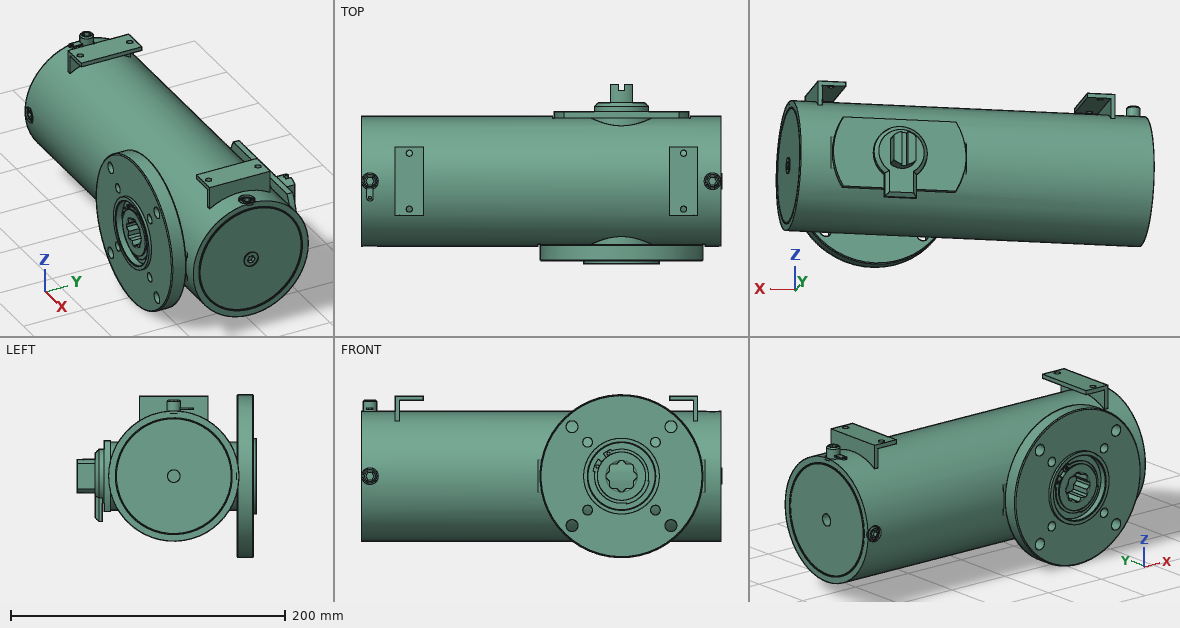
import cadquery as cq
import math

BODY_LENGTH = 262.5
BODY_R = 95.0 / 2
CAP_R = 42.6
CAP_GROOVE = 0.8
END_HOLE_D = 9.2
END_HOLE_DEPTH = 8.0

CROSS_X = 189.8
NECK_R = 25.0
SEAT_Y = 46.0
SEAT_DEPTH = 2.6
FLANGE_SEAT_HALF = 61.0
PLATE_SEAT_HALF = 50.3

FLANGE_R = 59.5
FLANGE_FACE_Y = 58.2
FLANGE_CHAMFER = 0.8
OUTER_HOLE_OFFSET = 36.0
OUTER_HOLE_D = 8.7
INNER_HOLE_OFFSET = 24.7
INNER_HOLE_D = 7.0
BOSS_R = 27.6
BOSS_FACE_Y = 60.3
RECESS_R = 24.5
RECESS_DEPTH = 5.5
RECESS_CHAMFER = 0.5

SLEEVE_R = 17.6
SLEEVE_FACE_Y = BOSS_FACE_Y - 2.0
SOCKET_SIDE = 17.6
SOCKET_R = 23.0 / 2
SOCKET_LEAD = 0.8
RING_R = 19.7
RING_THICKNESS = 1.0
RING_FACE_Y = SLEEVE_FACE_Y - 1.0
EAR_RING_R = 21.0
EAR_ANGLES = (112, 170)
GAP_ANGLES = (129, 144)
EAR_HOLE_ANGLES = (120, 158)
EAR_HOLE_PITCH_R = 19.0
EAR_HOLE_D = 2.5
WIDE_RING_R = 20.5
WIDE_ANGLES = (-80, -10)

PLATE_R = 49.2
PLATE_HEIGHT = 51.9
PLATE_TOP_Y = 50.8
HUB_R = 19.7
HUB_TOP_Y = 57.5
POINTER_BASE_Y = 52.0
POINTER_WIDTH = 23.7
POINTER_LENGTH = 33.2
INDICATOR_CHAMFER = 3.0
SHAFT_R = 12.5
SHAFT_FLATS = 16.3
SHAFT_END_Y = 70.5
SLOT_WIDTH = 4.2
SLOT_DEPTH = 4.2

BRACKET_THICKNESS = 3.2
BRACKET_LEG = 20.5
BRACKET_LENGTH = 50.0
BRACKET_TOP_Z = 58.5
BRACKET_BOTTOM_Z = 40.3
BRACKET_HOLE_SPACING = 40.8
BRACKET_HOLE_D = 4.5
LEFT_BRACKET_X = 24.7
RIGHT_BRACKET_X = 245.3

PORT_INSET = 6.3
PORT_SEAT_R = 6.0
PORT_SEAT_DEPTH = 1.8
PORT_SCREW_R = 5.0
PORT_SCREW_CHAMFER = 1.0
PLUG_SUNK = 0.5
PORT_HEIGHT = 55.5
HEX_CIRCLE_D = 6.0
HEX_DEPTH = 3.2
END_PLUG_R = 5.8
END_PLUG_HEIGHT = 0.8
TAG_WIDTH = 4.7
TAG_REACH = 14.5
TAG_THICKNESS = 1.0
TAG_BASE_Z = 48.7
TAG_HOLE_D = 2.0


def cross_plane(y):
    """Sketch plane on the cross axis: local x is X, local y is Z, extrusion goes toward -Y."""
    return cq.Workplane("XZ", origin=(CROSS_X, y, 0))


def y_disc(radius, y_far, y_near):
    """Cylinder on the cross axis from the larger Y, y_far, down to y_near."""
    return cross_plane(y_far).circle(radius).extrude(y_far - y_near)


def make_body():
    body = cq.Workplane("YZ").circle(BODY_R).extrude(BODY_LENGTH)
    for side, half in ((-1, FLANGE_SEAT_HALF), (1, PLATE_SEAT_HALF)):
        seat = cq.Workplane("XY").box(2 * half, SEAT_DEPTH, 2 * BODY_R)
        body = body.cut(seat.translate((CROSS_X, side * (SEAT_Y + SEAT_DEPTH / 2), 0)))
    for groove_x in (0, BODY_LENGTH - CAP_GROOVE):
        ring = cq.Workplane("YZ", origin=(groove_x, 0, 0)).circle(CAP_R).circle(CAP_R - CAP_GROOVE)
        body = body.cut(ring.extrude(CAP_GROOVE))
    end_hole = cq.Workplane("YZ").circle(END_HOLE_D / 2).extrude(END_HOLE_DEPTH)
    return body.cut(end_hole).union(y_disc(NECK_R, SEAT_Y, -SEAT_Y))


def make_flange():
    flange = y_disc(FLANGE_R, -SEAT_Y, -FLANGE_FACE_Y).edges().chamfer(FLANGE_CHAMFER)
    for offset, diameter in ((OUTER_HOLE_OFFSET, OUTER_HOLE_D), (INNER_HOLE_OFFSET, INNER_HOLE_D)):
        holes = cross_plane(-SEAT_Y).rect(2 * offset, 2 * offset, forConstruction=True).vertices()
        flange = flange.cut(holes.circle(diameter / 2).extrude(FLANGE_FACE_Y - SEAT_Y))
    return flange.union(y_disc(BOSS_R, -FLANGE_FACE_Y, -BOSS_FACE_Y))


def make_recess():
    recess = y_disc(RECESS_R, RECESS_DEPTH - BOSS_FACE_Y, -BOSS_FACE_Y)
    rim = (
        cross_plane(-BOSS_FACE_Y)
        .circle(RECESS_R + RECESS_CHAMFER)
        .workplane(offset=-RECESS_CHAMFER)
        .circle(RECESS_R)
        .loft()
    )
    return recess.union(rim)


def ring_sector(outer_r, angles):
    """Stretch of the snap ring between two angles, reaching from the sleeve to outer_r."""
    def at(radius, angle):
        return radius * math.cos(math.radians(angle)), radius * math.sin(math.radians(angle))

    start, end = angles
    middle = (start + end) / 2
    return (
        cross_plane(RING_THICKNESS - RING_FACE_Y)
        .moveTo(*at(SLEEVE_R, start))
        .lineTo(*at(outer_r, start))
        .threePointArc(at(outer_r, middle), at(outer_r, end))
        .lineTo(*at(SLEEVE_R, end))
        .threePointArc(at(SLEEVE_R, middle), at(SLEEVE_R, start))
        .close()
        .extrude(RING_THICKNESS)
    )


def make_sleeve():
    sleeve = y_disc(SLEEVE_R, RECESS_DEPTH - BOSS_FACE_Y, -SLEEVE_FACE_Y)
    ring_back = RING_THICKNESS - RING_FACE_Y
    ring = y_disc(RING_R, ring_back, -RING_FACE_Y)
    ring = ring.union(ring_sector(EAR_RING_R, EAR_ANGLES)).union(ring_sector(WIDE_RING_R, WIDE_ANGLES))
    ring = ring.cut(ring_sector(EAR_RING_R, GAP_ANGLES))
    ear_holes = cross_plane(ring_back).polarArray(
        EAR_HOLE_PITCH_R, EAR_HOLE_ANGLES[0], EAR_HOLE_ANGLES[1] - EAR_HOLE_ANGLES[0], 2
    )
    return sleeve.union(ring.cut(ear_holes.circle(EAR_HOLE_D / 2).extrude(RING_THICKNESS)))


def make_socket():
    """Double-square bore ending on a rounded floor that follows the tube axis."""
    squares = cross_plane(0).rect(SOCKET_SIDE, SOCKET_SIDE).extrude(SLEEVE_FACE_Y)
    turned = squares.rotate((CROSS_X, 0, 0), (CROSS_X, 1, 0), 45)
    socket = squares.union(turned).intersect(y_disc(SOCKET_R, 0, -SLEEVE_FACE_Y))
    core = cq.Workplane("YZ").circle(CAP_R).extrude(BODY_LENGTH)
    lead_in = (
        cross_plane(-SLEEVE_FACE_Y)
        .circle(SOCKET_R)
        .workplane(offset=-SOCKET_LEAD)
        .circle(SOCKET_SIDE / 2)
        .loft()
    )
    return socket.cut(core).union(lead_in)


def make_plate():
    plate = y_disc(PLATE_R, PLATE_TOP_Y, SEAT_Y)
    trim = cq.Workplane("XY").box(2 * PLATE_R, 2 * PLATE_TOP_Y, PLATE_HEIGHT)
    return plate.intersect(trim.translate((CROSS_X, PLATE_TOP_Y, 0)))


def make_indicator():
    hub = y_disc(HUB_R, HUB_TOP_Y, PLATE_TOP_Y)
    pointer = (
        cross_plane(HUB_TOP_Y)
        .center(0, -POINTER_LENGTH / 2)
        .rect(POINTER_WIDTH, POINTER_LENGTH)
        .extrude(HUB_TOP_Y - POINTER_BASE_Y)
    )
    return hub.union(pointer).faces(">Y").edges().chamfer(INDICATOR_CHAMFER)


def make_shaft():
    length = SHAFT_END_Y - HUB_TOP_Y
    shaft = y_disc(SHAFT_R, SHAFT_END_Y, HUB_TOP_Y)
    shaft = shaft.intersect(cross_plane(SHAFT_END_Y).rect(SHAFT_FLATS, 2 * SHAFT_R).extrude(length))
    slot = cross_plane(SHAFT_END_Y).rect(SLOT_WIDTH, 2 * SHAFT_R).extrude(SLOT_DEPTH)
    return shaft.cut(slot)


def make_bracket(outer_x, inward):
    """Angle whose upright leg stands at outer_x and whose flat leg points along inward (+1 or -1)."""
    flat_bottom = BRACKET_TOP_Z - BRACKET_THICKNESS
    inner_x = outer_x + inward * BRACKET_THICKNESS
    tip_x = outer_x + inward * BRACKET_LEG
    half = BRACKET_LENGTH / 2
    bracket = (
        cq.Workplane("XZ")
        .moveTo(outer_x, BRACKET_BOTTOM_Z)
        .lineTo(outer_x, BRACKET_TOP_Z)
        .lineTo(tip_x, BRACKET_TOP_Z)
        .lineTo(tip_x, flat_bottom)
        .lineTo(inner_x, flat_bottom)
        .lineTo(inner_x, BRACKET_BOTTOM_Z)
        .close()
        .extrude(half, both=True)
    )
    holes = (
        cq.Workplane("XY", origin=((outer_x + tip_x) / 2, 0, flat_bottom))
        .rarray(2.6, BRACKET_HOLE_SPACING, 1, 2)
        .circle(BRACKET_HOLE_D / 2)
        .extrude(BRACKET_THICKNESS)
    )
    return bracket.cut(holes)


def hex_socket(plane):
    return cq.Workplane(plane).polygon(6, HEX_CIRCLE_D).extrude(-HEX_DEPTH)


def add_port(part, x, outward, head_height):
    """Spot-faced port at x with a socket screw whose head ends at head_height from the tube axis."""
    axis = cq.Vector(outward)
    seat_height = BODY_R - PORT_SEAT_DEPTH
    seat_plane = cq.Plane(cq.Vector(x, 0, 0) + axis * seat_height, (1, 0, 0), axis)
    head_plane = cq.Plane(cq.Vector(x, 0, 0) + axis * head_height, (1, 0, 0), axis)
    seat = cq.Workplane(seat_plane).circle(PORT_SEAT_R).extrude(PORT_SEAT_DEPTH)
    screw = cq.Workplane(head_plane).circle(PORT_SCREW_R).extrude(seat_height - head_height)
    screw = screw.edges(cq.selectors.DirectionMinMaxSelector(axis, True)).chamfer(PORT_SCREW_CHAMFER)
    return part.cut(seat).union(screw).cut(hex_socket(head_plane))


def make_tag():
    """Flat tag reaching from the tall port screw toward -Y, with a rounded, drilled tip."""
    tip_y = TAG_WIDTH / 2 - TAG_REACH
    plane = cq.Workplane("XY", origin=(PORT_INSET, 0, TAG_BASE_Z))
    strip = plane.center(0, tip_y / 2).rect(TAG_WIDTH, -tip_y).extrude(TAG_THICKNESS)
    tip = plane.center(0, tip_y).circle(TAG_WIDTH / 2).extrude(TAG_THICKNESS)
    hole = plane.center(0, tip_y).circle(TAG_HOLE_D / 2).extrude(TAG_THICKNESS)
    return strip.union(tip).cut(hole)


part = make_body().union(make_flange()).cut(make_recess()).union(make_sleeve()).cut(make_socket())

part = part.union(make_plate()).union(make_indicator()).union(make_shaft())

part = part.union(make_bracket(LEFT_BRACKET_X, 1)).union(make_bracket(RIGHT_BRACKET_X, -1))

part = part.union(make_tag())
part = add_port(part, PORT_INSET, (0, 0, 1), PORT_HEIGHT)
part = add_port(part, BODY_LENGTH - PORT_INSET, (0, 0, 1), BODY_R - PLUG_SUNK)
part = add_port(part, PORT_INSET, (0, -1, 0), BODY_R - PLUG_SUNK)

end_plane = cq.Plane((BODY_LENGTH + END_PLUG_HEIGHT, 0, 0), (0, 1, 0), (1, 0, 0))
part = part.union(cq.Workplane(end_plane).circle(END_PLUG_R).extrude(-END_PLUG_HEIGHT))
result = part.cut(hex_socket(end_plane))